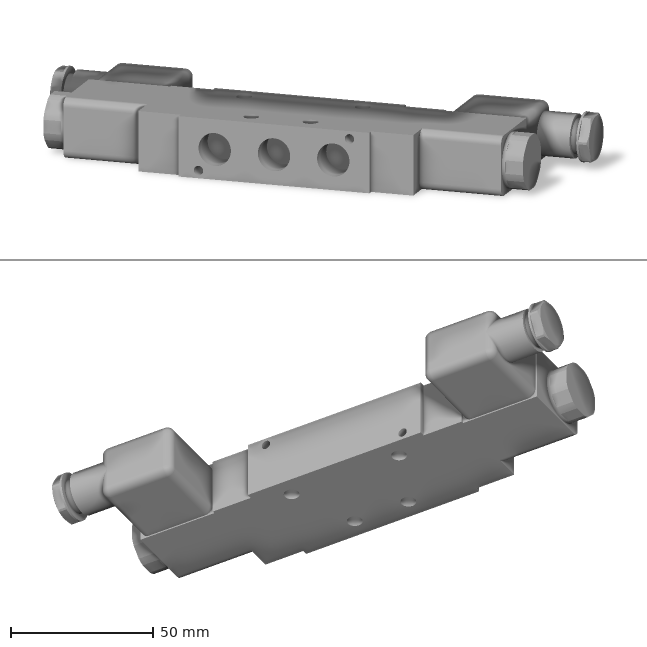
import cadquery as cq
import math


OVERALL_LENGTH = 200.0
BODY_HEIGHT = 22.0
CENTRE_LENGTH = 70.8
CENTRE_WIDTH = 40.0
SHOULDER_LENGTH = 102.0
SHOULDER_WIDTH = 36.0

COIL_END_X = 81.2
COIL_BACK_Y = 17.0
COIL_WIDTH = 28.0
COIL_FILLET = 3.0

KNOB_LENGTH = 7.8
KNOB_COLLAR = 1.2
KNOB_DIAMETER = 20.2
KNOB_ACROSS_FLATS = 19.5
KNOB_FLATS = 8

MOUNT_DIAMETER = 5.5
BACK_MOUNT_X = 22.0
BACK_MOUNT_Y = 12.5
FRONT_MOUNT_X = BACK_MOUNT_X / 2
FRONT_MOUNT_Y = -BACK_MOUNT_Y

PORT_DIAMETER = 12.0
PORT_PITCH = 22.0
PORT_DEPTH = 10.0
PORT_COUNT = 3
PIN_DIAMETER = 3.5
PIN_X = 28.0
PIN_Z = 8.2

PLUG_LENGTH = 29.0
PLUG_HEIGHT = 21.0
PLUG_BACK_Y = 46.0
PLUG_OUTER_X = 80.5
PLUG_FILLET = 3.0

BOSS_DIAMETER = 16.0
GLAND_Y = PLUG_BACK_Y - BOSS_DIAMETER / 2
BOSS_END_X = 92.8
NECK_DIAMETER = 12.8
NUT_INNER_X = 95.5
WASHER_THICKNESS = 0.8
WASHER_DIAMETER = 18.0
NUT_ACROSS_FLATS = 16.0
NUT_SIDES = 6
NUT_CHAMFER_LENGTH = 0.5


def centred_box(length, width, height):
    return cq.Workplane("XY").box(length, width, height)


def x_plane(x, y=0.0):
    """Workplane facing +X, with its local x along Y and local y along Z."""
    return cq.Workplane("YZ", origin=(x, y, 0))


def polygon_diameter(across_flats, sides):
    return across_flats / math.cos(math.pi / sides)


def make_coil():
    """Coil housing of the +X end; it starts at the shoulder face."""
    coil_length = COIL_END_X - SHOULDER_LENGTH / 2
    coil_x = SHOULDER_LENGTH / 2 + coil_length / 2
    coil_y = COIL_BACK_Y - COIL_WIDTH / 2
    coil = centred_box(coil_length, COIL_WIDTH, BODY_HEIGHT).translate((coil_x, coil_y, 0))
    return coil.faces("<Y").edges("|X").fillet(COIL_FILLET)


def make_knob():
    """Collar and eight-sided grip on the +X end; the flats cut into the round."""
    collar = x_plane(COIL_END_X).circle(KNOB_DIAMETER / 2).extrude(KNOB_COLLAR)
    grip_x = COIL_END_X + KNOB_COLLAR
    grip_length = KNOB_LENGTH - KNOB_COLLAR
    half_step = 180 / KNOB_FLATS
    octagon = (
        x_plane(grip_x)
        .transformed(rotate=(0, 0, half_step))
        .polygon(KNOB_FLATS, polygon_diameter(KNOB_ACROSS_FLATS, KNOB_FLATS))
        .extrude(grip_length)
    )
    round_bar = x_plane(grip_x).circle(KNOB_DIAMETER / 2).extrude(grip_length)
    return collar.union(octagon.intersect(round_bar))


def drill_mounts(body):
    mounts = [(side * BACK_MOUNT_X, BACK_MOUNT_Y) for side in (-1, 1)]
    mounts += [(side * FRONT_MOUNT_X, FRONT_MOUNT_Y) for side in (-1, 1)]
    drills = (
        cq.Workplane("XY", origin=(0, 0, -BODY_HEIGHT / 2))
        .pushPoints(mounts)
        .circle(MOUNT_DIAMETER / 2)
        .extrude(BODY_HEIGHT)
    )
    return body.cut(drills)


def drill_front_face(body):
    """Three blind ports, and two pin holes that run through the full width."""
    back_facing = cq.Plane(origin=(0, -CENTRE_WIDTH / 2, 0), xDir=(-1, 0, 0), normal=(0, 1, 0))
    ports = (
        cq.Workplane(back_facing)
        .rarray(PORT_PITCH, 2, PORT_COUNT, 1)
        .circle(PORT_DIAMETER / 2)
        .extrude(PORT_DEPTH)
    )
    pins = (
        cq.Workplane(back_facing)
        .pushPoints([(-PIN_X, PIN_Z), (PIN_X, -PIN_Z)])
        .circle(PIN_DIAMETER / 2)
        .extrude(CENTRE_WIDTH)
    )
    return body.cut(ports).cut(pins)


def make_valve_body():
    body = centred_box(CENTRE_LENGTH, CENTRE_WIDTH, BODY_HEIGHT)
    body = body.union(centred_box(SHOULDER_LENGTH, SHOULDER_WIDTH, BODY_HEIGHT))
    end = make_coil().union(make_knob())
    body = body.union(end).union(end.mirror("YZ"))
    body = drill_mounts(body)
    return drill_front_face(body)


def make_gland():
    """Cable gland of the +X end; its boss is rooted inside the plug."""
    boss_start_x = PLUG_OUTER_X - PLUG_LENGTH / 2
    boss = x_plane(boss_start_x, GLAND_Y).circle(BOSS_DIAMETER / 2).extrude(BOSS_END_X - boss_start_x)
    neck = x_plane(BOSS_END_X, GLAND_Y).circle(NECK_DIAMETER / 2).extrude(NUT_INNER_X - BOSS_END_X)
    washer = x_plane(NUT_INNER_X, GLAND_Y).circle(WASHER_DIAMETER / 2).extrude(WASHER_THICKNESS)

    nut_start_x = NUT_INNER_X + WASHER_THICKNESS
    nut_length = OVERALL_LENGTH / 2 - nut_start_x
    hexagon = (
        x_plane(nut_start_x, GLAND_Y)
        .polygon(NUT_SIDES, polygon_diameter(NUT_ACROSS_FLATS, NUT_SIDES))
        .extrude(nut_length)
    )
    blank = (
        x_plane(nut_start_x, GLAND_Y)
        .circle(WASHER_DIAMETER / 2)
        .extrude(nut_length)
        .faces(">X")
        .chamfer(NUT_CHAMFER_LENGTH, (WASHER_DIAMETER - NUT_ACROSS_FLATS) / 2)
    )
    nut = hexagon.intersect(blank)
    return boss.union(neck).union(washer).union(nut)


def make_plug():
    """Connector of the +X end, standing on the +Y face of its coil."""
    plug_depth = PLUG_BACK_Y - COIL_BACK_Y
    plug_x = PLUG_OUTER_X - PLUG_LENGTH / 2
    plug_y = COIL_BACK_Y + plug_depth / 2
    plug = centred_box(PLUG_LENGTH, plug_depth, PLUG_HEIGHT).translate((plug_x, plug_y, 0))
    plug = plug.edges("|Y or >Y").fillet(PLUG_FILLET)
    return plug.union(make_gland())


valve_body = make_valve_body()

plugs = []
for mirrored in (False, True):
    plug = make_plug()
    if mirrored:
        plug = plug.mirror("YZ")
    plugs.append(plug)

result = cq.Compound.makeCompound([valve_body.val(), *[plug.val() for plug in plugs]])